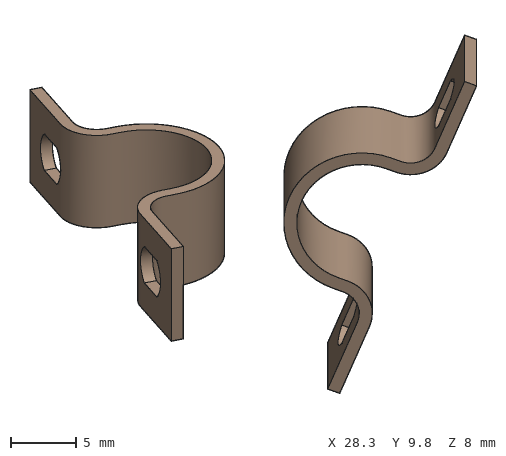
import cadquery as cq

thickness = 1.0
strip_width = 8.0
overall_length = 28.3
overall_depth = 9.8

arch_inner_radius = 5.0
arch_outer_radius = arch_inner_radius + thickness
bend_inner_radius = 2.0
bend_outer_radius = bend_inner_radius + thickness

hole_spacing = 20.0
hole_diameter = 4.0
hole_height = 3.15

flange_end_x = overall_length / 2
flange_outer_y = arch_outer_radius - overall_depth
flange_inner_y = flange_outer_y + thickness
bend_center_x = arch_outer_radius + bend_inner_radius
bend_center_y = flange_outer_y + bend_outer_radius


def make_strip():
    """Bent strip: arch, short straight legs, bends and two flanges."""
    profile = (
        cq.Workplane("XY")
        .workplane(offset=-strip_width / 2)
        .moveTo(-flange_end_x, flange_inner_y)
        .lineTo(-bend_center_x, flange_inner_y)
        .radiusArc((-arch_outer_radius, bend_center_y), -bend_inner_radius)
        .lineTo(-arch_outer_radius, 0)
        .threePointArc((0, arch_outer_radius), (arch_outer_radius, 0))
        .lineTo(arch_outer_radius, bend_center_y)
        .radiusArc((bend_center_x, flange_inner_y), -bend_inner_radius)
        .lineTo(flange_end_x, flange_inner_y)
        .lineTo(flange_end_x, flange_outer_y)
        .lineTo(bend_center_x, flange_outer_y)
        .radiusArc((arch_inner_radius, bend_center_y), bend_outer_radius)
        .lineTo(arch_inner_radius, 0)
        .threePointArc((0, arch_inner_radius), (-arch_inner_radius, 0))
        .lineTo(-arch_inner_radius, bend_center_y)
        .radiusArc((-bend_center_x, flange_outer_y), bend_outer_radius)
        .lineTo(-flange_end_x, flange_outer_y)
        .close()
    )
    return profile.extrude(strip_width)


def make_hole_cutter(center_x):
    """Cylinder through one flange, trimmed to the height of the flats."""
    flange_center_y = (flange_outer_y + flange_inner_y) / 2
    cylinder = (
        cq.Workplane("XZ", origin=(center_x, flange_inner_y, 0))
        .circle(hole_diameter / 2)
        .extrude(thickness)
    )
    flats = cq.Workplane("XY", origin=(center_x, flange_center_y, 0)).box(
        hole_diameter, thickness, hole_height
    )
    return cylinder.intersect(flats)


result = make_strip()
for side in (-1, 1):
    result = result.cut(make_hole_cutter(side * hole_spacing / 2))